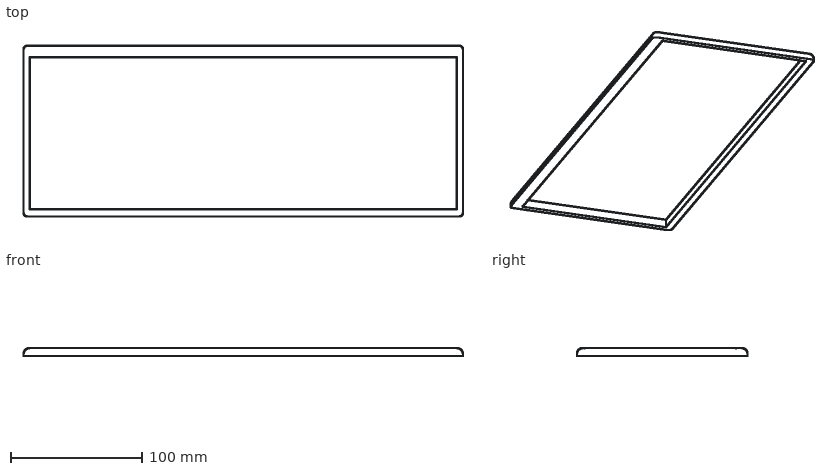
import cadquery as cq

length = 334.8
width = 130.2
height = 6.3

side_rail = 4.9
front_rail = 5.7
back_rail = 8.9

edge_radius = 4.75
corner_radius = 3.0


def outer_body():
    """Plate with a rounded top rim, then rounded corners that follow onto the rim."""
    plate = cq.Workplane("XY").box(length, width, height, centered=(True, True, False))
    plate = plate.faces(">Z").edges().fillet(edge_radius)
    return plate.edges("|Z").fillet(corner_radius)


def opening():
    """Rectangular window, set toward the front by the wide back rail."""
    opening_length = length - 2 * side_rail
    opening_width = width - front_rail - back_rail
    center_y = (front_rail - back_rail) / 2
    return (
        cq.Workplane("XY")
        .center(0, center_y)
        .rect(opening_length, opening_width)
        .extrude(height)
    )


result = outer_body().cut(opening())